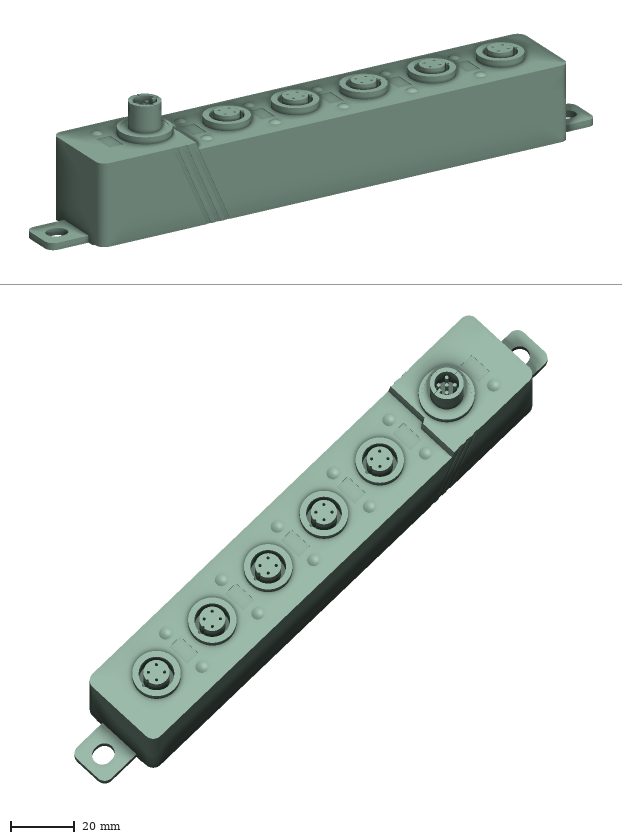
import cadquery as cq

OVERALL_LENGTH = 200.0
HOUSING_WIDTH = 29.8
HOUSING_LENGTH = 171.5
HOUSING_CORNER = 3.2
BASE_Z = 0.5
DECK_Z = 26.5
RAISED_DECK_Z = 29.0

PAD_WIDTH = 20.2
TAB_WIDTH = 15.0
TAB_THICKNESS = 2.5
TAB_CORNER = 3.0
TAB_SLOT_WIDTH = 6.5
TAB_SLOT_LENGTH = 7.5
TAB_SLOT_Y = 93.0

STEP_SLOPE = 0.44
STEP_LEFT_Y = -49.0
STEP_RIGHT_Y = -50.8
STEP_JOG_WIDTH = 1.2
CUT_CLEARANCE = 2.0
GROOVE_COUNT = 3
GROOVE_WIDTH = 1.7
GROOVE_PITCH = 2 * GROOVE_WIDTH
GROOVE_START_Y = -51.0
GROOVE_DEPTH = 0.2

PORT_COUNT = 5
PORT_PITCH = 25.0
FIRST_PORT_Y = 69.2
PORT_DIAMETER = 15.2
PORT_HEIGHT = 2.5
PORT_TOP_Z = DECK_Z + PORT_HEIGHT
PORT_BORE = 11.2
PORT_BORE_DEPTH = 6.0
INSERT_DIAMETER = 8.2
INSERT_HEIGHT = 1.2
INSERT_TOP_Z = PORT_TOP_Z + INSERT_HEIGHT
INSERT_KEYWAY_DIAMETER = 1.0
PORT_NOTCH_DIAMETER = 1.2
CONTACT_OFFSET = 1.8
CONTACT_HOLE_DIAMETER = 1.0
CONTACT_HOLE_DEPTH = 4.0

PLUG_Y = -60.8
FLANGE_DIAMETER = 17.5
FLANGE_HEIGHT = 2.5
FLANGE_TOP_Z = RAISED_DECK_Z + FLANGE_HEIGHT
FLANGE_RECESS_DIAMETER = 15.5
FLANGE_RECESS_DEPTH = 0.2
PLUG_DIAMETER = 10.5
PLUG_BORE = 7.8
PLUG_TOP_Z = 40.5
PLUG_FLOOR_Z = FLANGE_TOP_Z
PIN_DIAMETER = 1.2
PIN_SETBACK = 1.5
PIN_TOP_Z = PLUG_TOP_Z - PIN_SETBACK
KEY_WIDTH = 1.0
KEY_PROJECTION = 1.2
RIM_NOTCH_WIDTH = 0.8
RIM_NOTCH_DEPTH = 0.2

LAMP_DIAMETER = 4.0
LAMP_HEIGHT = 0.5
LAMP_X = 8.0
LABEL_WIDTH = 8.0
LABEL_LENGTH = 5.0
LABEL_DEPTH = 0.2
PORT_TO_LABEL = 12.2
PLUG_TO_LABEL = 12.8

port_ys = [FIRST_PORT_Y - i * PORT_PITCH for i in range(PORT_COUNT)]
contact_points = [(sx * CONTACT_OFFSET, sy * CONTACT_OFFSET) for sx in (-1, 1) for sy in (-1, 1)]


def cylinder(diameter, bottom_z, top_z, x=0.0, y=0.0):
    """Upright cylinder between two heights."""
    return cq.Workplane("XY", origin=(x, y, bottom_z)).circle(diameter / 2).extrude(top_z - bottom_z)


def block(width, length, bottom_z, top_z, x=0.0, y=0.0):
    """Upright box centred on (x, y) between two heights."""
    return cq.Workplane("XY", origin=(x, y, bottom_z)).rect(width, length).extrude(top_z - bottom_z)


def make_base():
    """Thin pad under the housing with a slotted tab at each end."""
    tabs = block(TAB_WIDTH, OVERALL_LENGTH, 0, TAB_THICKNESS).edges("|Z").fillet(TAB_CORNER)
    slots = (
        cq.Workplane("XY")
        .pushPoints([(0, TAB_SLOT_Y), (0, -TAB_SLOT_Y)])
        .slot2D(TAB_SLOT_LENGTH, TAB_SLOT_WIDTH, 90)
        .extrude(TAB_THICKNESS)
    )
    return tabs.cut(slots).union(block(PAD_WIDTH, HOUSING_LENGTH, 0, BASE_Z))


def step_outline(shift):
    """Plan of the space above the lower deck, its jogged front edge moved along Y by shift."""
    side = HOUSING_WIDTH / 2 + CUT_CLEARANCE
    far_end = HOUSING_LENGTH / 2 + CUT_CLEARANCE
    return [
        (-side, far_end),
        (-side, STEP_LEFT_Y + shift),
        (-STEP_JOG_WIDTH, STEP_LEFT_Y + shift),
        (0, STEP_RIGHT_Y + shift),
        (side, STEP_RIGHT_Y + shift),
        (side, far_end),
    ]


def make_housing():
    """Rounded block with a lower deck behind the sloping step and slanted grooves in both sides."""
    housing = block(HOUSING_WIDTH, HOUSING_LENGTH, BASE_Z, RAISED_DECK_Z).edges("|Z").fillet(HOUSING_CORNER)
    step_height = RAISED_DECK_Z - DECK_Z
    above_deck = (
        cq.Workplane("XY", origin=(0, 0, DECK_Z))
        .polyline(step_outline(STEP_SLOPE * step_height))
        .close()
        .workplane(offset=step_height)
        .polyline(step_outline(0))
        .close()
        .loft(ruled=True)
    )
    housing = housing.cut(above_deck)

    groove_run = STEP_SLOPE * (RAISED_DECK_Z - BASE_Z)
    for i in range(GROOVE_COUNT):
        top_y = GROOVE_START_Y - i * GROOVE_PITCH
        groove_profile = [
            (top_y, RAISED_DECK_Z),
            (top_y - GROOVE_WIDTH, RAISED_DECK_Z),
            (top_y - GROOVE_WIDTH + groove_run, BASE_Z),
            (top_y + groove_run, BASE_Z),
        ]
        for inner_x in (-HOUSING_WIDTH / 2, HOUSING_WIDTH / 2 - GROOVE_DEPTH):
            groove = cq.Workplane("YZ", origin=(inner_x, 0, 0)).polyline(groove_profile).close()
            housing = housing.cut(groove.extrude(GROOVE_DEPTH))
    return housing


def add_port(body, y):
    """Socket port: collar with a keyed annular gap around a four-hole contact insert."""
    bore_floor_z = PORT_TOP_Z - PORT_BORE_DEPTH
    body = body.union(cylinder(PORT_DIAMETER, DECK_Z, PORT_TOP_Z, y=y))
    body = body.cut(cylinder(PORT_BORE, bore_floor_z, PORT_TOP_Z, y=y))
    body = body.cut(cylinder(PORT_NOTCH_DIAMETER, bore_floor_z, PORT_TOP_Z, y=y + PORT_BORE / 2))

    insert = cylinder(INSERT_DIAMETER, bore_floor_z, INSERT_TOP_Z, y=y)
    insert = insert.cut(
        cylinder(INSERT_KEYWAY_DIAMETER, bore_floor_z, INSERT_TOP_Z, y=y + INSERT_DIAMETER / 2)
    )
    contact_floor_z = INSERT_TOP_Z - CONTACT_HOLE_DEPTH
    for dx, dy in contact_points:
        insert = insert.cut(cylinder(CONTACT_HOLE_DIAMETER, contact_floor_z, INSERT_TOP_Z, dx, y + dy))
    return body.union(insert)


def add_plug(body):
    """Plug connector: flange carrying a keyed sleeve around five pins."""
    flange = cylinder(FLANGE_DIAMETER, RAISED_DECK_Z, FLANGE_TOP_Z, y=PLUG_Y)
    recess_floor_z = FLANGE_TOP_Z - FLANGE_RECESS_DEPTH
    flange = flange.cut(cylinder(FLANGE_RECESS_DIAMETER, recess_floor_z, FLANGE_TOP_Z, y=PLUG_Y))

    sleeve = cylinder(PLUG_DIAMETER, RAISED_DECK_Z, PLUG_TOP_Z, y=PLUG_Y)
    sleeve = sleeve.cut(cylinder(PLUG_BORE, PLUG_FLOOR_Z, PLUG_TOP_Z, y=PLUG_Y))
    key_y = PLUG_Y + PLUG_BORE / 2
    key = block(KEY_WIDTH, 2 * KEY_PROJECTION, PLUG_FLOOR_Z, PLUG_TOP_Z, y=key_y)
    sleeve = sleeve.union(key)

    notch_floor_z = PLUG_TOP_Z - RIM_NOTCH_DEPTH
    sleeve = sleeve.cut(block(RIM_NOTCH_WIDTH, PLUG_DIAMETER, notch_floor_z, PLUG_TOP_Z, y=PLUG_Y))
    sleeve = sleeve.cut(block(PLUG_DIAMETER, RIM_NOTCH_WIDTH, notch_floor_z, PLUG_TOP_Z, y=PLUG_Y))

    for dx, dy in contact_points + [(0, 0)]:
        sleeve = sleeve.union(cylinder(PIN_DIAMETER, RAISED_DECK_Z, PIN_TOP_Z, dx, PLUG_Y + dy))
    return body.union(flange).union(sleeve)


def add_lamp(body, x, y, deck_z):
    """Indicator lamp: shallow spherical dome standing on the deck."""
    radius = ((LAMP_DIAMETER / 2) ** 2 + LAMP_HEIGHT**2) / (2 * LAMP_HEIGHT)
    sphere = cq.Workplane("XY", origin=(x, y, deck_z + LAMP_HEIGHT - radius)).sphere(radius)
    dome = sphere.intersect(cylinder(LAMP_DIAMETER, deck_z - LAMP_HEIGHT, deck_z + LAMP_HEIGHT, x, y))
    return body.union(dome)


def cut_label(body, y, deck_z):
    """Shallow rectangular field for a label."""
    return body.cut(block(LABEL_WIDTH, LABEL_LENGTH, deck_z - LABEL_DEPTH, deck_z, y=y))


result = make_base().union(make_housing())

for port_y in port_ys:
    label_y = port_y - PORT_TO_LABEL
    result = add_port(result, port_y)
    result = cut_label(result, label_y, DECK_Z)
    for lamp_x in (-LAMP_X, LAMP_X):
        result = add_lamp(result, lamp_x, label_y, DECK_Z)

result = add_plug(result)
plug_label_y = PLUG_Y - PLUG_TO_LABEL
result = cut_label(result, plug_label_y, RAISED_DECK_Z)
result = add_lamp(result, -LAMP_X, plug_label_y, RAISED_DECK_Z)